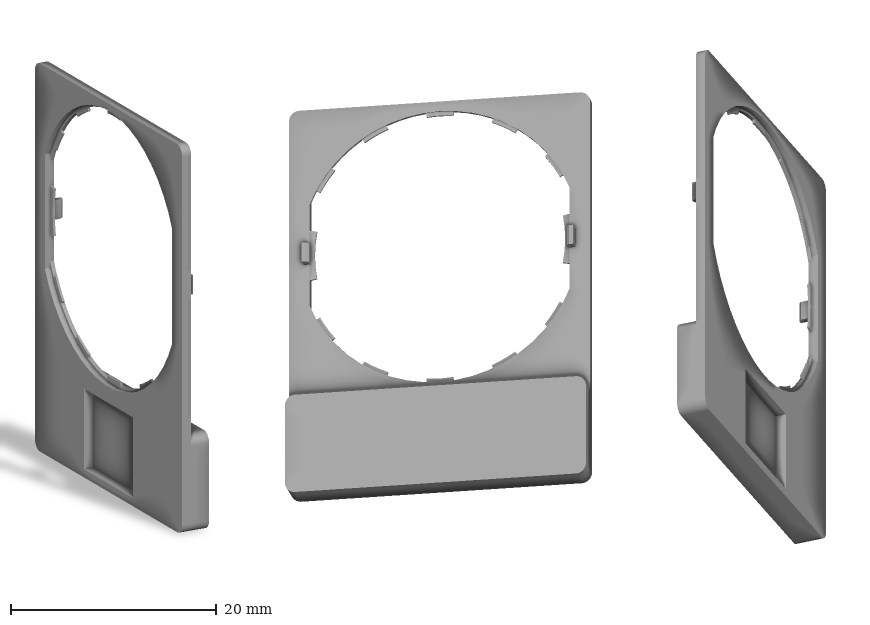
import cadquery as cq
import math

HEIGHT = 39.8
WIDTH = 29.8
PLATE_THICKNESS = 1.0
CORNER_RADIUS = 1.0

TOTAL_DEPTH = 3.0
FOOT_HEIGHT = 10.0

OPENING_Z = 5.0
OPENING_RADIUS = 14.15
FLAT_HALF_WIDTH = 12.9
LIP_RADIUS = 13.9
LIP_FRONT = 0.6
LIP_THICKNESS = PLATE_THICKNESS - LIP_FRONT

TAB_RADIUS = 13.5
TAB_THICKNESS = 0.25
TAB_SPAN = 11.2
TAB_PITCH = 28.0
TABS_PER_SIDE = 5
SIDE_TAB_RADIUS = 12.4
SIDE_TAB_SPAN = 2 * TAB_SPAN

LUG_INNER_X = 12.78
LUG_OUTER_X = 13.45
LUG_HEIGHT = 1.95
LUG_DEPTH = 1.05
LUG_CHAMFER = 0.28

WINDOW_WIDTH = 10.0
WINDOW_TOP = -10.8
WINDOW_BOTTOM = -19.05
WINDOW_HEIGHT = WINDOW_TOP - WINDOW_BOTTOM
WINDOW_DEPTH = 2.0
INSERT_FRONT = PLATE_THICKNESS
INSERT_THICKNESS = WINDOW_DEPTH - INSERT_FRONT
INSERT_TOP_GAP = 0.1


def block(width, height, depth, center_x, bottom_z, front_y):
    """Box given by its size, its middle in x, its bottom and its front face."""
    corner = cq.Vector(center_x - width / 2, front_y, bottom_z)
    return cq.Workplane(cq.Solid.makeBox(width, depth, height, corner))


def disc(radius, front_y, thickness):
    """Disc on the opening axis, reaching backwards from front_y."""
    center = cq.Vector(0, front_y, OPENING_Z)
    return cq.Workplane(cq.Solid.makeCylinder(radius, thickness, center, cq.Vector(0, 1, 0)))


def flattened_disc(radius, front_y, thickness):
    """Disc with its left and right sides cut flat."""
    flats = block(2 * FLAT_HALF_WIDTH, 2 * radius, thickness, 0, OPENING_Z - radius, front_y)
    return disc(radius, front_y, thickness).intersect(flats)


def make_tab(angle, span, inner_radius, outer_radius):
    """Tab with radial ends and a concentric inner edge, centred on the given angle."""
    def point(radius, degrees):
        turn = math.radians(degrees)
        return (radius * math.cos(turn), OPENING_Z + radius * math.sin(turn))

    start = angle - span / 2
    end = angle + span / 2
    return (
        cq.Workplane("XZ", origin=(0, LIP_FRONT, 0))
        .moveTo(*point(inner_radius, start))
        .threePointArc(point(inner_radius, angle), point(inner_radius, end))
        .lineTo(*point(outer_radius, end))
        .threePointArc(point(outer_radius, angle), point(outer_radius, start))
        .close()
        .extrude(-TAB_THICKNESS)
    )


def make_frame():
    """Plate with its foot, stepped opening, tabs, lugs and label window."""
    plate = block(WIDTH, HEIGHT, PLATE_THICKNESS, 0, -HEIGHT / 2, 0)
    plate = plate.edges("|Y").fillet(CORNER_RADIUS)
    foot = block(WIDTH, FOOT_HEIGHT, TOTAL_DEPTH - PLATE_THICKNESS, 0, -HEIGHT / 2, PLATE_THICKNESS)
    foot = foot.edges("|Y").fillet(CORNER_RADIUS)
    frame = plate.union(foot)

    frame = frame.cut(flattened_disc(OPENING_RADIUS, 0, LIP_FRONT))
    frame = frame.cut(flattened_disc(LIP_RADIUS, LIP_FRONT, LIP_THICKNESS))

    for middle in (90, 270):
        for index in range(TABS_PER_SIDE):
            angle = middle + TAB_PITCH * (index - (TABS_PER_SIDE - 1) / 2)
            frame = frame.union(make_tab(angle, TAB_SPAN, TAB_RADIUS, OPENING_RADIUS))

    lug_width = LUG_OUTER_X - LUG_INNER_X
    lug_middle = (LUG_OUTER_X + LUG_INNER_X) / 2
    lug_bottom = OPENING_Z - LUG_HEIGHT / 2
    for side, angle in ((1, 0), (-1, 180)):
        frame = frame.union(make_tab(angle, SIDE_TAB_SPAN, SIDE_TAB_RADIUS, LUG_OUTER_X))
        lug = block(lug_width, LUG_HEIGHT, LUG_DEPTH, side * lug_middle, lug_bottom, PLATE_THICKNESS)
        inner_face = "<X" if side > 0 else ">X"
        lug = lug.faces(inner_face).edges(">Y").chamfer(LUG_CHAMFER)
        frame = frame.union(lug)

    return frame.cut(block(WINDOW_WIDTH, WINDOW_HEIGHT, WINDOW_DEPTH, 0, WINDOW_BOTTOM, 0))


def make_label_insert():
    """Flat insert on the window floor, a little shorter than the window."""
    insert_height = WINDOW_HEIGHT - INSERT_TOP_GAP
    return block(WINDOW_WIDTH, insert_height, INSERT_THICKNESS, 0, WINDOW_BOTTOM, INSERT_FRONT)


frame = make_frame()
label_insert = make_label_insert()

result = cq.Compound.makeCompound([frame.val(), label_insert.val()])